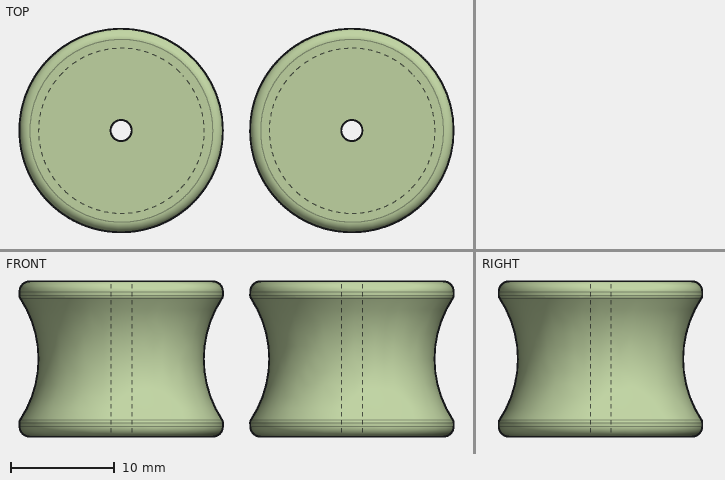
import cadquery as cq

overall_length = 41.95
roller_diameter = 19.65
roller_height = 15.0

bore_diameter = 2.0
waist_diameter = 16.0
rim_height = 1.5
rim_fillet = 1.0
waist_edge_fillet = 0.5

rim_radius = roller_diameter / 2
waist_radius = waist_diameter / 2
bore_radius = bore_diameter / 2
roller_spacing = overall_length - roller_diameter


def make_roller(center_x):
    """Bored roller with a concave waist, standing on Z = 0 with its axis along Z."""
    profile = (
        cq.Workplane("XZ")
        .moveTo(bore_radius, 0)
        .lineTo(rim_radius, 0)
        .lineTo(rim_radius, rim_height)
        .threePointArc(
            (waist_radius, roller_height / 2),
            (rim_radius, roller_height - rim_height),
        )
        .lineTo(rim_radius, roller_height)
        .lineTo(bore_radius, roller_height)
        .close()
    )
    roller = profile.revolve(360, (0, 0, 0), (0, 1, 0))
    waist_edges = roller.faces("%TORUS").edges("<Z or >Z")
    roller = waist_edges.fillet(waist_edge_fillet)
    outermost = cq.selectors.RadiusNthSelector(-1)
    roller = roller.faces("<Z or >Z").edges(outermost).fillet(rim_fillet)
    return roller.translate((center_x, 0, 0))


rollers = [make_roller(side * roller_spacing / 2) for side in (-1, 1)]

result = cq.Compound.makeCompound([roller.val() for roller in rollers])